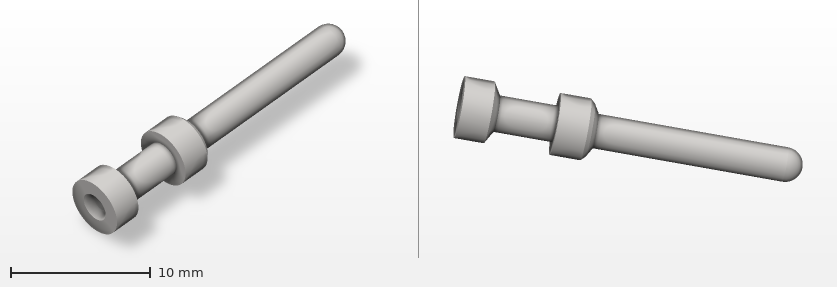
import cadquery as cq

length = 25.0
head_radius = 2.25
neck_radius = 1.32
pin_radius = 1.25

head_end = 2.18
neck_start = 2.72
collar_start = 6.98
collar_edge = 9.2
collar_end = 9.9

shoulder_radius = 1.95
shoulder_end = 9.52
collar_nose_radius = 1.32

hole_radius = 1.1
hole_floor_radius = 0.6
countersink_depth = 0.6
hole_tip_depth = 1.0


def turned_body():
    """Revolve the stepped outer profile, ending in a hemispherical tip."""
    dome_start = length - pin_radius
    dome_mid = pin_radius * 0.5**0.5
    profile = (
        cq.Workplane("XY")
        .lineTo(head_radius, 0)
        .lineTo(head_radius, head_end)
        .lineTo(neck_radius, neck_start)
        .lineTo(neck_radius, collar_start)
        .lineTo(head_radius, collar_start)
        .lineTo(head_radius, collar_edge)
        .lineTo(shoulder_radius, shoulder_end)
        .lineTo(collar_nose_radius, collar_end)
        .lineTo(pin_radius, collar_end)
        .lineTo(pin_radius, dome_start)
        .threePointArc((dome_mid, dome_start + dome_mid), (0, length))
        .close()
    )
    return profile.revolve(360, (0, 0, 0), (0, 1, 0))


def rear_hole():
    """Countersink narrowing to a shallower conical bottom."""
    profile = (
        cq.Workplane("XY")
        .lineTo(hole_radius, 0)
        .lineTo(hole_floor_radius, countersink_depth)
        .lineTo(0, hole_tip_depth)
        .close()
    )
    return profile.revolve(360, (0, 0, 0), (0, 1, 0))


result = turned_body().cut(rear_hole())